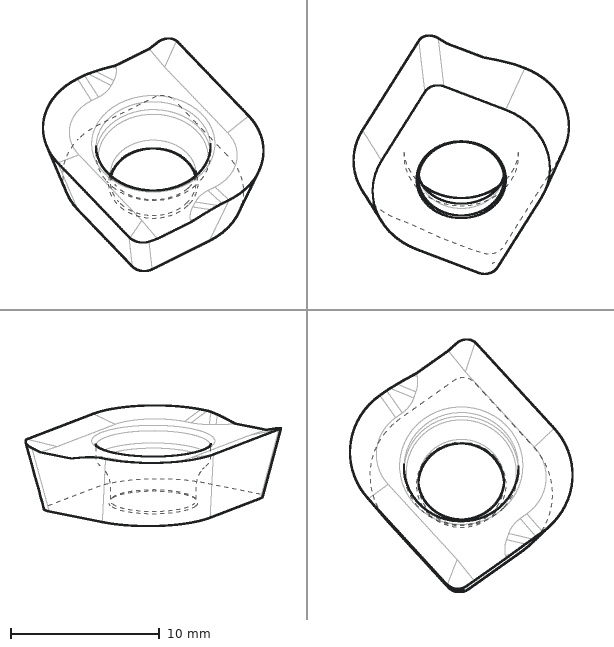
import cadquery as cq
import math

length = 14.5
width = 12.7
thickness = 4.76
relief_angle = 11.0
side_lean = 4.6
nose_radius = 5.0
tip_radius = 1.0

floor_depth = 0.48
rim_width = 1.78
wave_start_y = -0.15
wave_bend_y = -1.65
wave_lean = 30.0
runout_lean = 60.0
wave_radius = 2.2

facet_start_x = 4.8
ridge_lean = 30.0
facet_drop = 0.02

bore_radius = 2.88
exit_chamfer = 0.13
counterbore_radius = 3.85
lip_radius = 0.3
seat_bottom_z = 1.05
seat_radius = 2.3
seat_sweep = math.radians(50.0)

lean = math.radians(side_lean)
half_width = width / 2
floor_z = thickness - floor_depth
nose_x = length / 2 - nose_radius
nose_y = half_width - nose_radius
floor_half_width = half_width - rim_width
overshoot = 0.05
blank_height = 1.0
outside = length


def side_x(y, inset=0.0):
    """X of the +X side line at the given y, moved inward by inset."""
    edge = nose_x + (nose_radius - inset) / math.cos(lean)
    return edge + (y - nose_y) * math.tan(lean)


def outline(inset):
    """Plan outline with the sides moved inward and the corner radii kept."""
    y = half_width - inset
    corners = [
        (side_x(y, inset), y),
        (side_x(-y, inset), -y),
        (-side_x(y, inset), -y),
        (-side_x(-y, inset), y),
    ]
    blank = cq.Workplane("XY").polyline(corners).close().extrude(blank_height)
    blank = blank.edges("|Z").edges(">(1,1,0) or <(1,1,0)").fillet(nose_radius)
    blank = blank.edges("|Z").edges(">(1,-1,0) or <(1,-1,0)").fillet(tip_radius)
    return blank.faces("<Z").wires().val()


def make_body():
    """Tapered body, slightly over height so that the chip breaker forms the whole top."""
    slope = math.tan(math.radians(relief_angle))
    bottom = outline(thickness * slope)
    top = outline(-overshoot * slope).translate(cq.Vector(0, 0, thickness + overshoot))
    return cq.Workplane(cq.Solid.makeLoft([bottom, top], True))


def spread_corner(point, lean_before, lean_after, spread):
    """Corner of the floor outline after both of its runs move outward by spread."""
    normal_x = math.cos(lean_before) + math.cos(lean_after)
    normal_y = math.sin(lean_before) + math.sin(lean_after)
    scale = spread / (1 + math.cos(lean_after - lean_before))
    return (point[0] + scale * normal_x, point[1] + scale * normal_y)


def floor_outline(spread):
    """Outline of the chip breaker floor, moved outward by spread and raised up the rim."""
    first_lean = math.radians(wave_lean)
    second_lean = math.radians(runout_lean)
    start = (side_x(wave_start_y, rim_width), wave_start_y)
    bend_x = start[0] + (wave_start_y - wave_bend_y) * math.tan(first_lean)
    start = spread_corner(start, -lean, first_lean, spread)
    bend = spread_corner((bend_x, wave_bend_y), first_lean, second_lean, spread)
    long_side_y = floor_half_width + spread
    nose = (side_x(long_side_y, rim_width - spread), long_side_y)
    runout = (outside, bend[1] - (outside - bend[0]) / math.tan(second_lean))
    half = [nose, start, bend, runout, (outside, -long_side_y)]
    other_half = [(-x, -y) for x, y in half]
    blank = cq.Workplane("XY").polyline(half + other_half).close().extrude(blank_height)
    for sign in (1, -1):
        for corner, radius in (
            (nose, nose_radius - rim_width + spread),
            (start, wave_radius - spread),
            (bend, wave_radius - spread),
        ):
            middle = (sign * corner[0], sign * corner[1], blank_height / 2)
            nearest = cq.selectors.NearestToPointSelector(middle)
            blank = blank.edges("|Z").edges(nearest).fillet(radius)
    height = floor_z + spread * floor_depth / rim_width
    return blank.faces("<Z").wires().val().translate(cq.Vector(0, 0, height))


def make_chip_breaker():
    """Cutter that hollows the top down to the floor and leaves the rising rim."""
    full_spread = rim_width * (1 + overshoot / floor_depth)
    return cq.Workplane(cq.Solid.makeLoft([floor_outline(0), floor_outline(full_spread)], True))


def make_tip_facet():
    """Cutter for the lowered rim facet at the -X, +Y tip."""
    ridge = math.radians(ridge_lean)
    slope_x = facet_drop * math.cos(ridge)
    slope_y = floor_depth / rim_width + facet_drop * math.sin(ridge)
    start = (-facet_start_x, floor_half_width)
    ridge_end = (start[0] - rim_width * 2 * math.tan(ridge), start[1] + rim_width * 2)
    footprint = [start, ridge_end, (-outside, ridge_end[1]), (-outside, start[1])]
    prism = cq.Workplane("XY").workplane(offset=floor_z).polyline(footprint).close().extrude(blank_height)
    plane = cq.Plane(origin=(*start, floor_z), xDir=(1, 0, slope_x), normal=(-slope_x, -slope_y, 1))
    above = cq.Workplane(plane).rect(4 * length, 4 * length).extrude(length)
    return prism.intersect(above)


def make_screw_hole():
    """Revolved cutter: bore with chamfered exit, convex seat, blended counterbore and rounded lip."""
    seat_run = seat_radius * (1 - math.cos(seat_sweep))
    blend_run = counterbore_radius - bore_radius - seat_run
    blend_radius = blend_run / (1 - math.cos(seat_sweep))
    seat_top = (bore_radius + seat_run, seat_bottom_z + seat_radius * math.sin(seat_sweep))
    blend_top_z = seat_top[1] + blend_radius * math.sin(seat_sweep)
    half_sweep = seat_sweep / 2
    seat_middle = (
        bore_radius + seat_radius * (1 - math.cos(half_sweep)),
        seat_bottom_z + seat_radius * math.sin(half_sweep),
    )
    blend_middle = (
        counterbore_radius - blend_radius * (1 - math.cos(half_sweep)),
        blend_top_z - blend_radius * math.sin(half_sweep),
    )
    lip_offset = lip_radius * (1 - math.sqrt(0.5))
    profile = (
        cq.Workplane("XZ")
        .moveTo(0, 0)
        .lineTo(bore_radius + exit_chamfer, 0)
        .lineTo(bore_radius, exit_chamfer)
        .lineTo(bore_radius, seat_bottom_z)
        .threePointArc(seat_middle, seat_top)
        .threePointArc(blend_middle, (counterbore_radius, blend_top_z))
        .lineTo(counterbore_radius, floor_z - lip_radius)
        .threePointArc(
            (counterbore_radius + lip_offset, floor_z - lip_offset),
            (counterbore_radius + lip_radius, floor_z),
        )
        .lineTo(0, floor_z)
        .close()
    )
    return profile.revolve(360, (0, 0, 0), (0, 1, 0))


tip_facet = make_tip_facet()
result = make_body().cut(make_chip_breaker()).cut(make_screw_hole())
result = result.cut(tip_facet).cut(tip_facet.rotate((0, 0, 0), (0, 0, 1), 180))